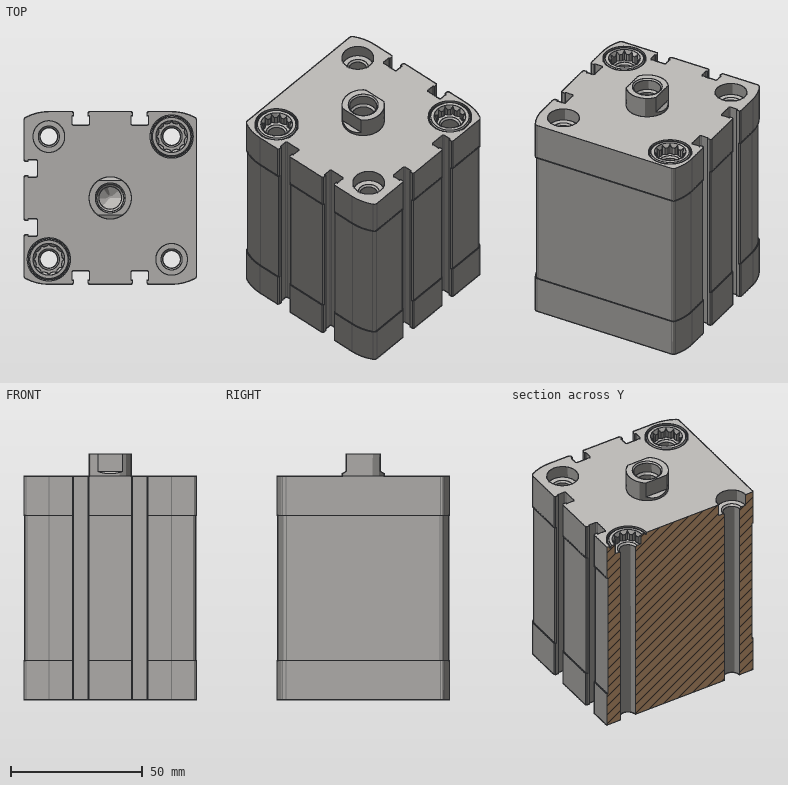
import cadquery as cq
import math

TOTAL_HEIGHT = 93.2
SIDE = 65.5
ROD_STICK_OUT = 8.4
HOUSING_HEIGHT = TOTAL_HEIGHT - ROD_STICK_OUT

CAP_HEIGHT = 14.9
BARREL_INSET = 0.4
FLANK_RADIUS = 18.6
CORNER_RADIUS = 1.5
HOLE_SPACING = 46.5
HOLE_OFFSET = HOLE_SPACING / 2

SLOT_OFFSET = 11.2
SLOT_DEPTH = 5.1
SLOT_WIDTH = 6.5
SLOT_MOUTH = 5.4
LIP_THICKNESS = 1.7
LIP_CHAMFER = 0.5
SLOT_FLOOR_RADIUS = 0.5

THROUGH_DIAMETER = 6.6
HOLE_MOUTH_DIAMETER = 8.0
RECESS_DIAMETER = 12.0
RECESS_DEPTH = 5.0

HEAD_RECESS_DIAMETER = 16.4
HEAD_DIAMETER = 15.5
HEAD_CHAMFER = 0.5
HEAD_GAP_DEPTH = 0.9
SOCKET_DEPTH = 4.5
SOCKET_BORE_DIAMETER = 10.2
SOCKET_POINT_DIAMETER = 11.6
SOCKET_CONE_HALF_ANGLE = 30.0
SQUARES_PER_SOCKET = 3

ROD_DIAMETER = 16.0
ROD_LENGTH = 37.3
FLAT_WIDTH = 13.05
FLAT_HEIGHT = 6.6
FLAT_FLOOR_SLOPE = 30.0
ROD_MOUTH_DIAMETER = 11.4
ROD_COUNTERBORE_DIAMETER = 10.25
ROD_COUNTERBORE_DEPTH = 4.7
ROD_DRILL_DIAMETER = 8.6
ROD_DRILL_DEPTH = 18.6
DRILL_POINT_HALF_ANGLE = 59.0


def tangent(degrees):
    return math.tan(math.radians(degrees))


def revolved(profile):
    """Solid of revolution about Z from (radius, height) points."""
    return cq.Workplane("XZ").polyline(profile).close().revolve(360, (0, 0, 0), (0, 1, 0))


def block(inset, bottom, height):
    """Square block whose +Y and -Y sides bend back in arcs towards the corners."""
    half = SIDE / 2 - inset
    radius = FLANK_RADIUS - inset
    arc_start = HOLE_OFFSET
    arc_center = half - radius
    arc_end_angle = math.acos((half - arc_start) / radius)
    corner = arc_center + radius * math.sin(arc_end_angle)
    middle_angle = (math.pi / 2 + arc_end_angle) / 2
    middle_x = arc_start + radius * math.cos(middle_angle)
    middle_y = arc_center + radius * math.sin(middle_angle)
    return (
        cq.Workplane("XY", origin=(0, 0, bottom))
        .moveTo(-arc_start, half)
        .lineTo(arc_start, half)
        .threePointArc((middle_x, middle_y), (half, corner))
        .lineTo(half, -corner)
        .threePointArc((middle_x, -middle_y), (arc_start, -half))
        .lineTo(-arc_start, -half)
        .threePointArc((-middle_x, -middle_y), (-half, -corner))
        .lineTo(-half, corner)
        .threePointArc((-middle_x, middle_y), (-arc_start, half))
        .close()
        .extrude(height)
        .edges("|Z and (>X or <X)")
        .fillet(CORNER_RADIUS)
    )


def slot(inset, bottom, height):
    """T-slot with chamfered lips and rounded floor corners, open to +Y and centred on X = 0."""
    face = SIDE / 2 - inset
    floor = SIDE / 2 - SLOT_DEPTH
    lip = SIDE / 2 - LIP_THICKNESS
    mouth = SLOT_MOUTH / 2
    chamfered = mouth + LIP_CHAMFER
    wide = SLOT_WIDTH / 2
    right_side = [
        (wide, floor),
        (wide, lip),
        (mouth, lip),
        (mouth, face - LIP_CHAMFER),
        (chamfered, face),
    ]
    left_side = [(-x, y) for x, y in reversed(right_side)]
    return (
        cq.Workplane("XY", origin=(0, 0, bottom))
        .polyline(right_side + left_side)
        .close()
        .extrude(height)
        .edges("|Z and <Y")
        .fillet(SLOT_FLOOR_RADIUS)
    )


def slotted_section(inset, bottom, height):
    """Length of housing with two T-slots on the +Y, -Y and -X sides."""
    section = block(inset, bottom, height)
    for side_angle in (0, 90, 180):
        for offset in (-SLOT_OFFSET, SLOT_OFFSET):
            cutter = slot(inset, bottom, height).translate((offset, 0, 0))
            section = section.cut(cutter.rotate((0, 0, 0), (0, 0, 1), side_angle))
    return section


def through_hole(mouth_depth):
    """Cutter for a corner hole with a 45 degree mouth at the given depth below the top."""
    bore = THROUGH_DIAMETER / 2
    mouth = HOLE_MOUTH_DIAMETER / 2
    top = HOUSING_HEIGHT - mouth_depth
    return revolved([(0, 0), (bore, 0), (bore, top - (mouth - bore)), (mouth, top), (0, top)])


def recessed_hole():
    """Cutter for a corner hole at the bottom of a plain round recess."""
    recess = (
        cq.Workplane("XY", origin=(0, 0, HOUSING_HEIGHT - RECESS_DEPTH))
        .circle(RECESS_DIAMETER / 2)
        .extrude(RECESS_DEPTH)
    )
    return through_hole(RECESS_DEPTH).union(recess)


def head_gap():
    """Ring-shaped cutter between a chamfered screw head and its recess."""
    outer = HEAD_RECESS_DIAMETER / 2
    head = HEAD_DIAMETER / 2
    top = HOUSING_HEIGHT
    return revolved([
        (head - HEAD_CHAMFER, top),
        (head, top - HEAD_CHAMFER),
        (head, top - HEAD_GAP_DEPTH),
        (outer, top - HEAD_GAP_DEPTH),
        (outer, top),
    ])


def socket():
    """Cutter for a twelve-point socket: a bore with square-cornered grooves and a conical entry."""
    entry = RECESS_DIAMETER / 2
    bore = SOCKET_BORE_DIAMETER / 2
    top = HOUSING_HEIGHT
    floor = top - SOCKET_DEPTH
    point = SOCKET_POINT_DIAMETER / 2
    cone_depth = (entry - bore) / tangent(SOCKET_CONE_HALF_ANGLE)
    point_depth = (entry - point) / tangent(SOCKET_CONE_HALF_ANGLE)
    cutter = revolved([(0, top), (entry, top), (bore, top - cone_depth), (bore, floor), (0, floor)])
    square = (
        cq.Workplane("XY", origin=(0, 0, floor))
        .polygon(4, SOCKET_POINT_DIAMETER)
        .extrude(SOCKET_DEPTH - point_depth)
    )
    for index in range(SQUARES_PER_SOCKET):
        turn = index * 90 / SQUARES_PER_SOCKET
        cutter = cutter.union(square.rotate((0, 0, 0), (0, 0, 1), turn))
    return cutter


def screw_hole():
    """Cutter for a corner hole that runs through a socket screw head."""
    return through_hole(SOCKET_DEPTH).union(socket()).union(head_gap())


def rod_blank():
    """Plain cylinder of the rod, which also bores its blind hole in the housing."""
    return (
        cq.Workplane("XY", origin=(0, 0, TOTAL_HEIGHT - ROD_LENGTH))
        .circle(ROD_DIAMETER / 2)
        .extrude(ROD_LENGTH)
    )


def make_housing():
    top_cap_bottom = HOUSING_HEIGHT - CAP_HEIGHT
    housing = (
        slotted_section(0, 0, CAP_HEIGHT)
        .union(slotted_section(BARREL_INSET, CAP_HEIGHT, top_cap_bottom - CAP_HEIGHT))
        .union(slotted_section(0, top_cap_bottom, CAP_HEIGHT))
    )
    for sign in (-1, 1):
        place = sign * HOLE_OFFSET
        housing = housing.cut(recessed_hole().translate((place, -place, 0)))
        housing = housing.cut(screw_hole().translate((place, place, 0)))
    return housing.cut(rod_blank())


def rod_hole():
    """Cutter for the stepped blind hole in the rod, with chamfered mouth and drill point."""
    top = TOTAL_HEIGHT
    mouth = ROD_MOUTH_DIAMETER / 2
    counterbore = ROD_COUNTERBORE_DIAMETER / 2
    drill = ROD_DRILL_DIAMETER / 2
    step_top = top - ROD_COUNTERBORE_DEPTH
    drill_end = top - ROD_DRILL_DEPTH
    return revolved([
        (0, top),
        (mouth, top),
        (counterbore, top - (mouth - counterbore)),
        (counterbore, step_top),
        (drill, step_top - (counterbore - drill)),
        (drill, drill_end),
        (0, drill_end - drill / tangent(DRILL_POINT_HALF_ANGLE)),
    ])


def wrench_flat():
    """Cutter for the +Y wrench flat, whose floor slopes down outwards."""
    flat = FLAT_WIDTH / 2
    reach = ROD_DIAMETER / 2
    floor = TOTAL_HEIGHT - FLAT_HEIGHT
    drop = (reach - flat) * tangent(FLAT_FLOOR_SLOPE)
    profile = [(flat, TOTAL_HEIGHT), (flat, floor), (reach, floor - drop), (reach, TOTAL_HEIGHT)]
    return cq.Workplane("YZ").polyline(profile).close().extrude(ROD_DIAMETER / 2, both=True)


def make_rod():
    rod = rod_blank().cut(rod_hole())
    for angle in (0, 180):
        rod = rod.cut(wrench_flat().rotate((0, 0, 0), (0, 0, 1), angle))
    return rod


housing = make_housing()
rod = make_rod()

result = cq.Compound.makeCompound([housing.val(), rod.val()])